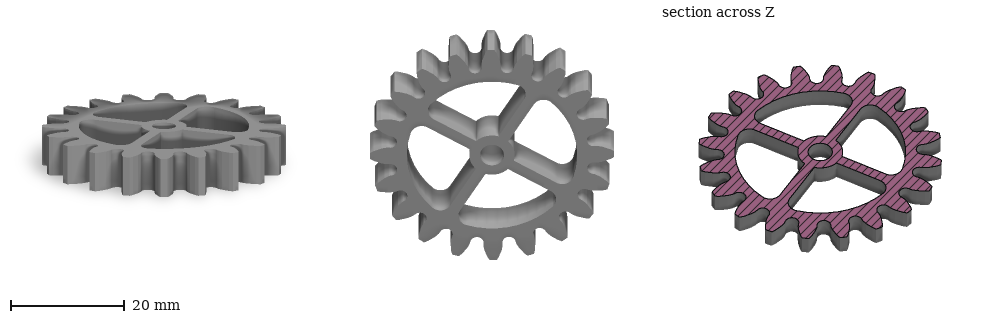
import cadquery as cq
import math

tooth_count = 20
outer_diameter = 43.0
pressure_angle = math.radians(20)
root_radius = 16.96
first_tooth_angle = 360 / tooth_count / 4
flank_clearance = 0.018
roll_step = 0.18

thickness = 7.0
bore_diameter = 4.2
hub_diameter = 8.0
rim_inner_radius = 15.0
spoke_count = 4
spoke_width = 2.0
window_fillet = 2.0

module = outer_diameter / (tooth_count + 2)
tip_radius = outer_diameter / 2
pitch_radius = module * tooth_count / 2
base_radius = pitch_radius * math.cos(pressure_angle)
pitch_angle = 2 * math.pi / tooth_count


def involute(angle):
    return math.tan(angle) - angle


base_half_angle = pitch_angle / 4 + involute(pressure_angle) - flank_clearance / pitch_radius
gap_half_angle = pitch_angle / 2 - base_half_angle

floor_center_radius = root_radius / (1 - math.sin(gap_half_angle))
wall_start_radius = floor_center_radius * math.cos(gap_half_angle)


def polar(radius, angle):
    return (radius * math.cos(angle), radius * math.sin(angle))


def involute_point(roll):
    """Radius, and half the tooth angle, where the involute has unrolled by the given angle."""
    local_pressure = math.atan(roll)
    radius = base_radius / math.cos(local_pressure)
    return radius, base_half_angle - involute(local_pressure)


def flank_corners():
    """Corners of a flat-faceted flank about the +X axis, base circle first, cut off at the tip circle."""
    corners = []
    roll = 0.0
    radius, half_angle = involute_point(roll)
    while radius < tip_radius:
        corners.append(polar(radius, half_angle))
        roll += roll_step
        radius, half_angle = involute_point(roll)
    x0, y0 = corners[-1]
    x1, y1 = polar(radius, half_angle)
    dx = x1 - x0
    dy = y1 - y0
    length_squared = dx**2 + dy**2
    outward = x0 * dx + y0 * dy
    tip_gap = tip_radius**2 - x0**2 - y0**2
    part = (math.sqrt(outward**2 + length_squared * tip_gap) - outward) / length_squared
    corners.append((x0 + part * dx, y0 + part * dy))
    return corners


def turned(point, angle):
    x, y = point
    return (
        x * math.cos(angle) - y * math.sin(angle),
        x * math.sin(angle) + y * math.cos(angle),
    )


def toothed_disc():
    """Solid disc with flat-tipped teeth, before the openings are cut."""
    corners = flank_corners()
    start = math.radians(first_tooth_angle)
    outline = cq.Workplane("XY").moveTo(*polar(wall_start_radius, start - base_half_angle))
    for i in range(tooth_count):
        axis = start + i * pitch_angle
        gap_axis = axis + pitch_angle / 2
        rising = [turned((x, -y), axis) for x, y in corners]
        falling = [turned((x, y), axis) for x, y in reversed(corners)]
        for point in rising + falling:
            outline = outline.lineTo(*point)
        outline = (
            outline.lineTo(*polar(wall_start_radius, axis + base_half_angle))
            .threePointArc(
                polar(root_radius, gap_axis),
                polar(wall_start_radius, gap_axis + gap_half_angle),
            )
        )
    return outline.close().extrude(thickness)


def window():
    """Opening between two spokes, in the +X +Y quarter."""
    edge = spoke_width / 2
    hub_radius = hub_diameter / 2
    hub_reach = math.sqrt(hub_radius**2 - edge**2)
    fillet_offset = edge + window_fillet
    fillet_center_radius = rim_inner_radius - window_fillet
    fillet_reach = math.sqrt(fillet_center_radius**2 - fillet_offset**2)
    touch_angle = math.atan2(fillet_offset, fillet_reach)
    middle_angle = (touch_angle - math.pi / 2) / 2
    middle_x = fillet_reach + window_fillet * math.cos(middle_angle)
    middle_y = fillet_offset + window_fillet * math.sin(middle_angle)
    diagonal = math.pi / 4
    return (
        cq.Workplane("XY")
        .moveTo(hub_reach, edge)
        .lineTo(fillet_reach, edge)
        .threePointArc((middle_x, middle_y), polar(rim_inner_radius, touch_angle))
        .threePointArc(
            polar(rim_inner_radius, diagonal),
            polar(rim_inner_radius, math.pi / 2 - touch_angle),
        )
        .threePointArc((middle_y, middle_x), (edge, fillet_reach))
        .lineTo(edge, hub_reach)
        .threePointArc(polar(hub_radius, diagonal), (hub_reach, edge))
        .close()
        .extrude(thickness)
    )


def bore():
    return cq.Workplane("XY").circle(bore_diameter / 2).extrude(thickness)


result = toothed_disc().cut(bore())
for i in range(spoke_count):
    result = result.cut(window().rotate((0, 0, 0), (0, 0, 1), i * 360 / spoke_count))